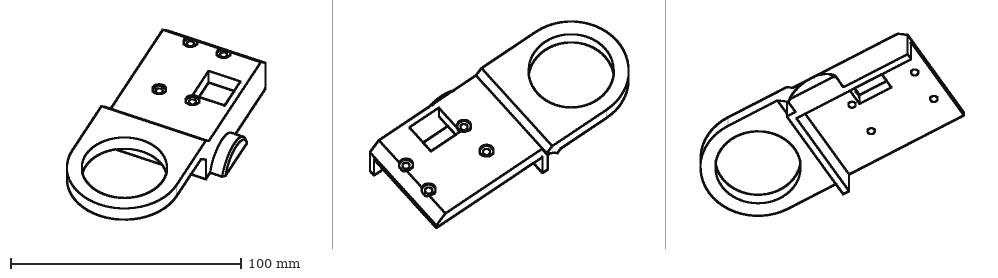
import cadquery as cq
import math

ring_radius = 25.0
ring_hole_diameter = 37.0
ring_thickness = 7.0
total_length = 116.5
total_height = 23.8
ring_bottom = total_height - ring_thickness

plate_width = 47.1
plate_top = 20.7
plate_bottom = 13.5
back_chamfer = 5.0
wall_thickness = 3.0
right_x = ring_radius
left_x = right_x - plate_width
back_y = total_length - ring_radius
wall_front_y = 29.9
wall_inner_y = wall_front_y + wall_thickness
gusset_drop = 4.8
slope_front_y = wall_front_y - gusset_drop
step_rise = total_height - plate_top

arm_end_low_z = 14.8
arm_end_bulge = 0.5
arm_end_lip = 0.8

screw_hole_diameter = 3.1
counterbore_diameter = 6.0
counterbore_depth = 1.0
screw_spacing_x = 16.0
screw_spacing_y = 31.9
screw_first_x = -7.9
screw_back_inset = 6.8

window_width = 15.3
window_length = 16.2
window_back_inset = 19.5

boss_chord = 24.5
boss_rise = 9.2
boss_length = 6.9
boss_chamfer = 1.0
boss_center_y = 46.6
boss_radius = ((boss_chord / 2) ** 2 + boss_rise**2) / (2 * boss_rise)


def extrude_profile(outline, x_start, x_end):
    """Extrude a closed Y-Z outline between two X positions."""
    return outline.close().extrude(x_end - x_start).translate((x_start, 0, 0))


def make_plate():
    """Chamfered plate with its front wall and the slope up to the ring."""
    outline = cq.Workplane("YZ").polyline([
        (back_y, 0),
        (back_y, plate_top - back_chamfer),
        (back_y - back_chamfer, plate_top),
        (wall_inner_y, plate_top),
        (wall_inner_y - step_rise, total_height),
        (slope_front_y, total_height),
        (slope_front_y, ring_bottom),
        (wall_front_y, ring_bottom - gusset_drop),
        (wall_front_y, 0),
    ])
    return extrude_profile(outline, left_x, right_x)


def make_underside_pocket():
    """Space below the plate, open to the left, the back and below."""
    return cq.Workplane("XY").box(
        plate_width - wall_thickness, back_y - wall_inner_y, plate_bottom, centered=False
    ).translate((left_x, wall_inner_y, 0))


def make_ring_arm():
    """Flat arm with a round end, its other end reaching onto the plate."""
    low_y = slope_front_y + ring_bottom - arm_end_low_z
    high_z = plate_top - arm_end_lip
    middle_y = (low_y + wall_inner_y) / 2 - arm_end_bulge * math.sqrt(0.5)
    middle_z = (arm_end_low_z + high_z) / 2 + arm_end_bulge * math.sqrt(0.5)
    outline = (
        cq.Workplane("YZ")
        .moveTo(0, ring_bottom)
        .lineTo(slope_front_y, ring_bottom)
        .lineTo(low_y, arm_end_low_z)
        .threePointArc((middle_y, middle_z), (wall_inner_y, high_z))
        .lineTo(wall_inner_y, plate_top)
        .lineTo(wall_inner_y - step_rise, total_height)
        .lineTo(0, total_height)
    )
    arm = extrude_profile(outline, -ring_radius, right_x)
    disc = cq.Workplane("XY", origin=(0, 0, ring_bottom)).circle(ring_radius).extrude(ring_thickness)
    return arm.union(disc)


def make_boss():
    """Chamfered disc on the right side, keeping only the part above the underside."""
    disc = (
        cq.Workplane("YZ", origin=(right_x, boss_center_y, boss_rise - boss_radius))
        .circle(boss_radius)
        .extrude(boss_length)
        .faces(">X")
        .chamfer(boss_chamfer)
    )
    keep = cq.Workplane("XY", origin=(right_x, boss_center_y, 0)).rect(
        4 * boss_radius, 4 * boss_radius
    ).extrude(boss_rise)
    return disc.intersect(keep)


def make_screw_hole(x, y):
    """Through hole with a counterbore sunk from the plate top."""
    hole = cq.Workplane("XY", origin=(x, y, 0)).circle(screw_hole_diameter / 2).extrude(total_height)
    counterbore = (
        cq.Workplane("XY", origin=(x, y, plate_top - counterbore_depth))
        .circle(counterbore_diameter / 2)
        .extrude(total_height - plate_top + counterbore_depth)
    )
    return hole.union(counterbore)


result = make_plate().cut(make_underside_pocket()).union(make_ring_arm())
result = result.cut(cq.Workplane("XY").circle(ring_hole_diameter / 2).extrude(total_height))

window = cq.Workplane("XY").box(window_width, window_length, total_height, centered=False)
result = result.cut(window.translate((
    right_x - wall_thickness - window_width,
    back_y - window_back_inset - window_length,
    0,
)))

for column in range(2):
    for row in range(2):
        result = result.cut(make_screw_hole(
            screw_first_x + column * screw_spacing_x,
            back_y - screw_back_inset - row * screw_spacing_y,
        ))

result = result.union(make_boss())